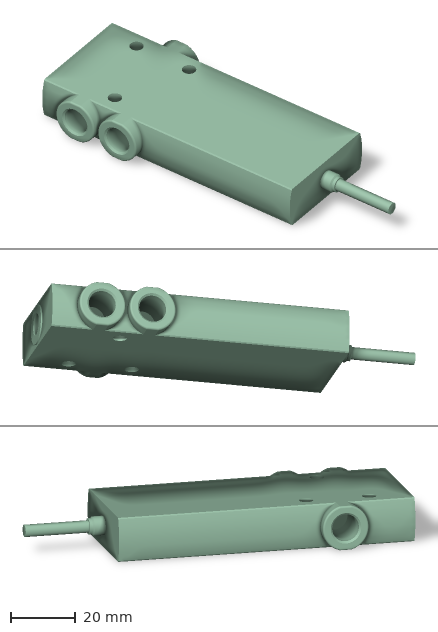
import cadquery as cq
import math

thickness = 14.0
body_width = 37.8
flat_width = 35.1
side_width = 35.8
edge_chamfer_height = 0.4
plug_height = 0.5
body_end = 94.9
total_length = 120.1

mount_diameter = 4.5
mount_center_x = 23.5
mount_spacing = 20.0
mount_y = 12.5

port_diameter = 14.5
port_span = 45.0
port_spacing = 16.0
port_tip_fillet = 0.6
bore_diameter = 8.5
bore_mouth_diameter = 9.7
bore_depth = 14.4

plug_diameter = 12.6
recess_diameter = 7.0
recess_tip_diameter = 2.0
recess_depth = 2.4

gland_diameter = 6.0
gland_length = 4.0
gland_chamfer = 0.5
collar_diameter = 5.0
collar_length = 1.0
cable_diameter = 3.8


def make_body():
    """Bar along X with arc-shaped sides and narrow bevels along its edges."""
    top = thickness / 2
    side_top = top - edge_chamfer_height
    return (
        cq.Workplane("YZ", origin=(plug_height, 0, 0))
        .moveTo(-flat_width / 2, top)
        .lineTo(flat_width / 2, top)
        .lineTo(side_width / 2, side_top)
        .threePointArc((body_width / 2, 0), (side_width / 2, -side_top))
        .lineTo(flat_width / 2, -top)
        .lineTo(-flat_width / 2, -top)
        .lineTo(-side_width / 2, -side_top)
        .threePointArc((-body_width / 2, 0), (-side_width / 2, side_top))
        .close()
        .extrude(body_end - plug_height)
    )


def port_frame(x, side):
    """Workplane at a port tip, facing into the body; side is +1 for +Y, -1 for -Y."""
    return cq.Workplane(cq.Plane((x, side * port_span / 2, 0), (1, 0, 0), (0, -side, 0)))


def make_port(x, side):
    """Round boss cut flat at the top and bottom of the body, with a rounded rim."""
    root_depth = (port_span - flat_width) / 2
    boss = port_frame(x, side).circle(port_diameter / 2).extrude(root_depth)
    slab = cq.Workplane().box(2 * total_length, 2 * port_span, thickness)
    tip_face = ">Y" if side > 0 else "<Y"
    return boss.intersect(slab).faces(tip_face).edges().fillet(port_tip_fillet)


def make_bore(x, side):
    """Blind bore with a 45 degree countersunk mouth."""
    mouth_depth = (bore_mouth_diameter - bore_diameter) / 2
    bore = port_frame(x, side).circle(bore_diameter / 2).extrude(bore_depth)
    mouth = port_frame(x, side).circle(bore_mouth_diameter / 2).extrude(mouth_depth, taper=45)
    return bore.union(mouth)


def make_rod(diameter, start, end):
    """Cylinder along the X axis."""
    return cq.Workplane("YZ", origin=(start, 0, 0)).circle(diameter / 2).extrude(end - start)


def make_plug_recess():
    """Cone narrowing into the end plug."""
    taper = math.degrees(math.atan((recess_diameter - recess_tip_diameter) / 2 / recess_depth))
    return cq.Workplane("YZ").circle(recess_diameter / 2).extrude(recess_depth, taper=taper)


def make_cable():
    """Gland, collar and cable leaving the right end of the body."""
    gland_end = body_end + gland_length
    gland = make_rod(gland_diameter, body_end, gland_end).faces(">X").edges().chamfer(gland_chamfer)
    collar = make_rod(collar_diameter, gland_end, gland_end + collar_length)
    cable = make_rod(cable_diameter, body_end, total_length)
    return gland.union(collar).union(cable)


ports = [
    (mount_center_x, 1),
    (mount_center_x - port_spacing / 2, -1),
    (mount_center_x + port_spacing / 2, -1),
]
mount_points = [
    (mount_center_x - mount_spacing / 2, mount_y),
    (mount_center_x + mount_spacing / 2, mount_y),
    (mount_center_x, -mount_y),
]

result = make_body()
result = result.union(make_rod(plug_diameter, 0, plug_height)).union(make_cable())
for port_x, port_side in ports:
    result = result.union(make_port(port_x, port_side))
for port_x, port_side in ports:
    result = result.cut(make_bore(port_x, port_side))
result = result.cut(make_plug_recess())

mount_holes = (
    cq.Workplane("XY", origin=(0, 0, -thickness / 2))
    .pushPoints(mount_points)
    .circle(mount_diameter / 2)
    .extrude(thickness)
)
result = result.cut(mount_holes)